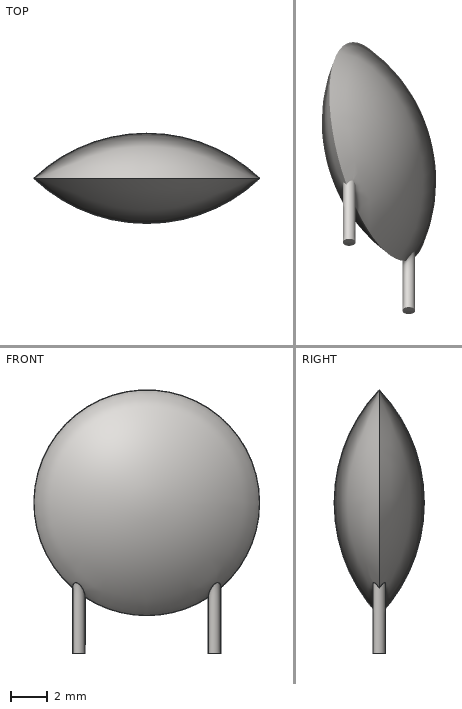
import cadquery as cq

disc_diameter = 12.5
disc_thickness = 5.0
total_height = 14.6
pin_diameter = 0.7
pin_spacing = 7.5
pin_top_z = -2.92
seam_angle = 60.0

disc_radius = disc_diameter / 2
half_thickness = disc_thickness / 2
pin_bottom_z = disc_radius - total_height


def lens_disc():
    """Biconvex disc with a sharp rim, revolved about the Y axis."""
    sphere_radius = (disc_radius**2 + half_thickness**2) / (2 * half_thickness)
    sphere_offset = sphere_radius - half_thickness
    mid_radius = disc_radius / 2
    mid_depth = (sphere_radius**2 - mid_radius**2) ** 0.5 - sphere_offset
    return (
        cq.Workplane("XY")
        .moveTo(0, -half_thickness)
        .threePointArc((mid_radius, -mid_depth), (disc_radius, 0))
        .threePointArc((mid_radius, mid_depth), (0, half_thickness))
        .close()
        .revolve(360, (0, 0, 0), (0, 1, 0))
    )


def pin(x):
    """Straight round lead running down from inside the disc.

    Its seam line is turned away from the disc rim so that the two join cleanly.
    """
    return (
        cq.Workplane("XY", origin=(x, 0, pin_bottom_z))
        .transformed(rotate=(0, 0, seam_angle))
        .circle(pin_diameter / 2)
        .extrude(pin_top_z - pin_bottom_z)
    )


result = lens_disc()
for side in (-1, 1):
    result = result.union(pin(side * pin_spacing / 2))